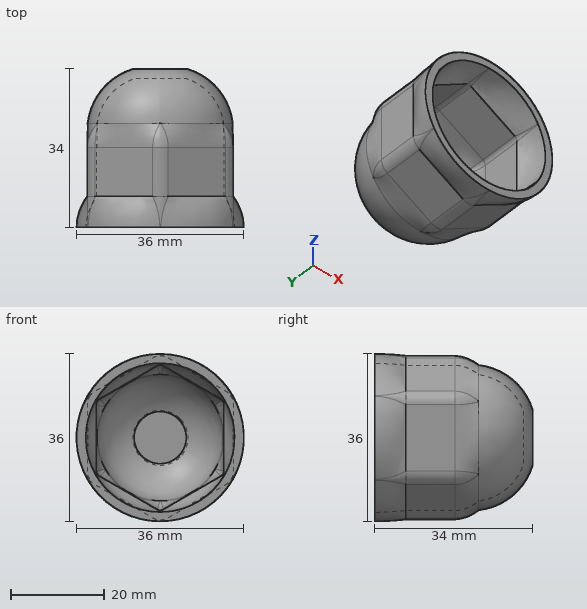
import cadquery as cq
import math

mouth_radius = 18.0
length = 34.0
wall = 2.0
apothem = 15.7
dome_arc_radius = 13.82
corner_fillet = 3.35
flare_end = 6.65
hex_end = 17.17
dome_start = 22.32
dome_top_radius = 5.9
seam_half_width = 0.1
blend_steps = 4
sides = 6

arc_center_x = apothem - dome_arc_radius
arc_center_y = length - math.sqrt(dome_arc_radius**2 - (dome_top_radius - arc_center_x) ** 2)


def polar(radius, angle, y):
    """Point at an angle measured from +Z around the Y axis."""
    return cq.Vector(radius * math.sin(angle), y, radius * math.cos(angle))


def section(y, roundness, radius, offset):
    """Wire between a rounded hexagon (roundness 0) and a circle (roundness 1)."""
    half_side = math.pi / sides
    flat = apothem - offset
    fillet = corner_fillet - offset
    fillet_center = (flat - fillet) / math.cos(half_side)
    tangent_x = fillet * math.sin(half_side)
    tangent_z = fillet_center + fillet * math.cos(half_side)
    seam_angle = math.asin(seam_half_width / radius)

    def blend(hex_radius, hex_angle, round_angle):
        hex_point = polar(hex_radius, hex_angle, y)
        round_point = polar(radius, round_angle, y)
        return hex_point * (1 - roundness) + round_point * roundness

    tangent_radius = math.hypot(tangent_x, tangent_z)
    tangent_angle = math.atan2(tangent_x, tangent_z)
    edges = []
    for i in range(sides):
        corner = 2 * half_side * i
        next_corner = corner + 2 * half_side
        before = blend(tangent_radius, corner - tangent_angle, corner - seam_angle)
        tip = blend(fillet_center + fillet, corner, corner)
        after = blend(tangent_radius, corner + tangent_angle, corner + seam_angle)
        middle = blend(flat, corner + half_side, corner + half_side)
        following = blend(tangent_radius, next_corner - tangent_angle, next_corner - seam_angle)
        edges.append(cq.Edge.makeThreePointArc(before, tip, after))
        if roundness == 0:
            edges.append(cq.Edge.makeLine(after, following))
        else:
            edges.append(cq.Edge.makeThreePointArc(after, middle, following))
    return cq.Wire.assembleEdges(edges)


def body(offset):
    """Solid cap shape, moved inward by offset from the outer surface."""
    arc_radius = dome_arc_radius - offset
    top = length - offset
    base_angle = math.asin((dome_start - arc_center_y) / arc_radius)
    top_angle = math.asin((top - arc_center_y) / arc_radius)
    mid_angle = (base_angle + top_angle) / 2
    dome_base = arc_center_x + arc_radius * math.cos(base_angle)
    top_radius = arc_center_x + arc_radius * math.cos(top_angle)
    mid_point = (
        arc_center_x + arc_radius * math.cos(mid_angle),
        arc_center_y + arc_radius * math.sin(mid_angle),
    )

    flare = []
    shoulder = []
    for i in range(blend_steps + 1):
        t = i / blend_steps
        flare.append(section(flare_end * t, 1 - t * t, mouth_radius - offset, offset))
        shoulder_y = hex_end + (dome_start - hex_end) * t
        shoulder.append(section(shoulder_y, t * t, dome_base, offset))

    dome = (
        cq.Workplane("XY")
        .moveTo(0, dome_start)
        .lineTo(dome_base, dome_start)
        .threePointArc(mid_point, (top_radius, top))
        .lineTo(0, top)
        .close()
        .revolve(360, (0, 0, 0), (0, 1, 0))
    )
    hexagon = cq.Solid.makeLoft([flare[-1], shoulder[0]], True)
    return (
        cq.Workplane(cq.Solid.makeLoft(flare))
        .union(cq.Workplane(hexagon))
        .union(cq.Workplane(cq.Solid.makeLoft(shoulder)))
        .union(dome)
    )


result = body(0).cut(body(wall))